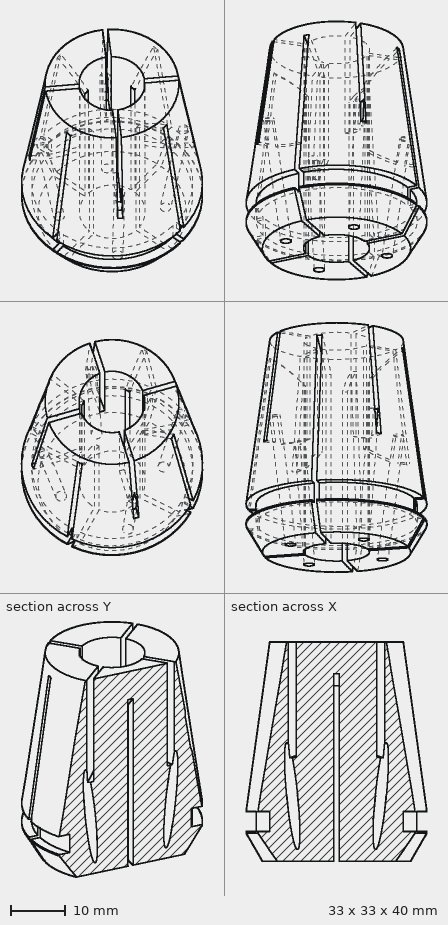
import cadquery as cq
import math

height = 40.0
outer_radius = 33.0 / 2
top_radius = 12.2
bore_radius = 6.0

bottom_radius = 13.5
bevel_top_z = 5.15
flange_top_z = 5.45
neck_radius = 14.7
cone_base_z = 9.1

slot_count = 4
slot_width = 0.95
slot_pitch = 360.0 / slot_count
overshoot = 2.0
slot_reach = outer_radius + overshoot
slot_start = bore_radius - overshoot

roof_bore_z = 32.0
roof_outer_z = 37.7
roof_radius = 32.0

floor_bore_z = 20.5
shelf_inner_radius = 11.6
shelf_z = 18.9
floor_arc_radius = 32.0

hole_diameter = 1.9
hole_center_radius = 12.4
hole_top_z = 24.0
hole_lean = 8.0


def cone_radius(z):
    """Radius of the clamping cone at height z."""
    share = (z - cone_base_z) / (height - cone_base_z)
    return outer_radius + share * (top_radius - outer_radius)


def arc_middle(start, end, radius):
    """Middle point of a shallow arc that bulges upward (radius > 0) or downward (radius < 0)."""
    run = end[0] - start[0]
    rise = end[1] - start[1]
    chord = math.hypot(run, rise)
    bulge = abs(radius) - math.sqrt(radius**2 - (chord / 2) ** 2)
    bulge = math.copysign(bulge, radius)
    middle_r = (start[0] + end[0]) / 2 - bulge * rise / chord
    middle_z = (start[1] + end[1]) / 2 + bulge * run / chord
    return middle_r, middle_z


def make_body():
    """Revolved collet with its through bore."""
    return (
        cq.Workplane("XZ")
        .moveTo(bore_radius, 0)
        .lineTo(bottom_radius, 0)
        .lineTo(outer_radius, bevel_top_z)
        .lineTo(outer_radius, flange_top_z)
        .lineTo(neck_radius, flange_top_z)
        .lineTo(neck_radius, cone_base_z)
        .lineTo(outer_radius, cone_base_z)
        .lineTo(top_radius, height)
        .lineTo(bore_radius, height)
        .close()
        .revolve(360, (0, 0, 0), (0, 1, 0))
    )


def make_lower_slot():
    """Radial cutter open at the bottom, lying along +X."""
    roof_inner = (bore_radius, roof_bore_z)
    roof_outer = (cone_radius(roof_outer_z), roof_outer_z)
    return (
        cq.Workplane("XZ")
        .moveTo(slot_start, -overshoot)
        .lineTo(slot_start, roof_bore_z)
        .lineTo(*roof_inner)
        .threePointArc(arc_middle(roof_inner, roof_outer, roof_radius), roof_outer)
        .lineTo(slot_reach, roof_outer_z)
        .lineTo(slot_reach, -overshoot)
        .close()
        .extrude(slot_width / 2, both=True)
    )


def make_upper_slot():
    """Radial cutter open at the top, lying along +X."""
    floor_inner = (bore_radius, floor_bore_z)
    shelf_inner = (shelf_inner_radius, shelf_z)
    return (
        cq.Workplane("XZ")
        .moveTo(slot_start, height + overshoot)
        .lineTo(slot_start, floor_bore_z)
        .lineTo(*floor_inner)
        .threePointArc(arc_middle(floor_inner, shelf_inner, -floor_arc_radius), shelf_inner)
        .lineTo(slot_reach, shelf_z)
        .lineTo(slot_reach, height + overshoot)
        .close()
        .extrude(slot_width / 2, both=True)
    )


def make_leaning_hole():
    """Drill over +X whose axis leans outward going up and meets the slot shelf at hole_center_radius."""
    lean = math.radians(hole_lean)
    length_above = (hole_top_z - shelf_z) / math.cos(lean)
    length_below = (shelf_z + overshoot) / math.cos(lean)
    return (
        cq.Workplane("XY")
        .workplane(offset=-length_below)
        .circle(hole_diameter / 2)
        .extrude(length_below + length_above)
        .rotate((0, 0, 0), (0, 1, 0), hole_lean)
        .translate((hole_center_radius, 0, shelf_z))
    )


result = make_body()
lower_slot = make_lower_slot()
upper_slot = make_upper_slot().union(make_leaning_hole())
for index in range(slot_count):
    angle = index * slot_pitch
    result = result.cut(lower_slot.rotate((0, 0, 0), (0, 0, 1), angle))
    result = result.cut(upper_slot.rotate((0, 0, 0), (0, 0, 1), angle + slot_pitch / 2))